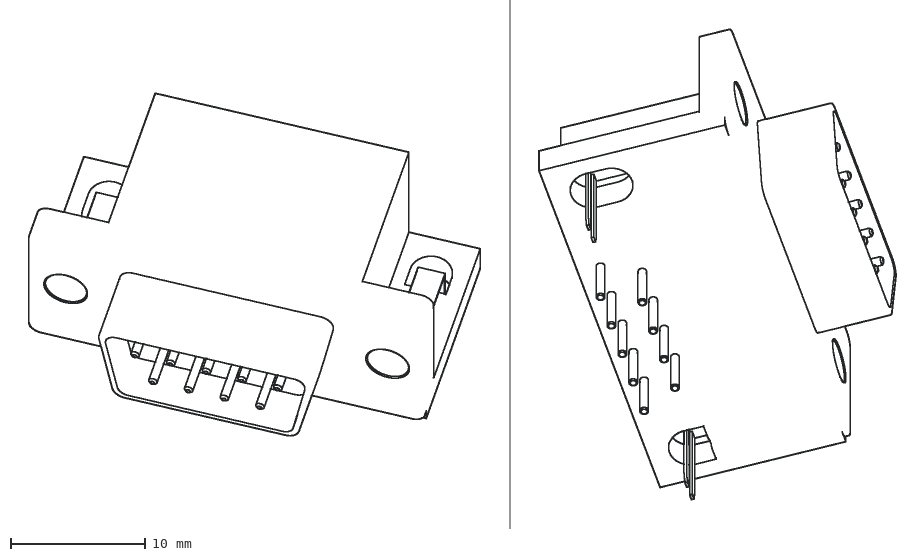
import cadquery as cq
import math


width = 30.8
height = 12.5
depth = 14.88
flange_depth = 2.37
base_height = 2.5
block_width = 19.7
corner_radius = 1.0

plate_thickness = 0.37
plate_edge_fillet = 0.1

hole_x = 12.5
hole_z = 6.25
hole_diameter = 3.2
hole_chamfer = 0.1

shell_width = 16.6
shell_height = 7.85
shell_length = 5.75
shell_wall = 0.5
shell_radius = 1.05
cavity_radius = 0.85
shell_side_angle = 10.0
shell_edge_fillet = 0.12
cavity_depth = 3.55

pin_diameter = 0.65
pin_tip_chamfer = 0.15
pin_recess = 0.2
pin_pitch = 2.77
row_gap = 2.83
tail_length = 3.88
tail_tip_chamfer = 0.1
back_tail_y = 13.1

slot_width = hole_diameter
slot_back_center_y = 11.65
slot_front_center_y = 10.1

lock_ring_diameter = 4.0
lock_width = 2.1
lock_upright_thickness = 0.28
lock_sheet_thickness = 0.2
lock_back_y = 11.8
lock_top_z = 4.55
lock_leg_length = 5.4
lock_leg_gap = 0.75
lock_tip_inset = 0.22
lock_tip_height = 0.92


def box(x0, x1, y0, y1, z0, z1):
    """Box given by its limits along each axis."""
    return cq.Workplane("XY").box(x1 - x0, y1 - y0, z1 - z0, centered=False).translate((x0, y0, z0))


def cylinder_along_y(x, z, diameter, y0, y1):
    """Cylinder running from y0 to y1."""
    return (
        cq.Workplane("XZ", origin=(x, y0, z))
        .circle(diameter / 2)
        .extrude(y0 - y1)
    )


def d_prism(inset, radius, y0, y1):
    """Prism of the D outline, its walls moved inwards by inset."""
    tilt = math.radians(shell_side_angle)
    sharp_offset = shell_radius * (math.tan(math.pi / 4 + tilt / 2) - 1)
    top_half = shell_width / 2 + sharp_offset
    top = hole_z + shell_height / 2 - inset
    bottom = hole_z - shell_height / 2 + inset

    def half_width(z):
        drop = hole_z + shell_height / 2 - z
        return top_half - drop * math.tan(tilt) - inset / math.cos(tilt)

    outline = [
        (-half_width(top), top),
        (half_width(top), top),
        (half_width(bottom), bottom),
        (-half_width(bottom), bottom),
    ]
    return (
        cq.Workplane("XZ", origin=(0, y1, 0))
        .polyline(outline)
        .close()
        .extrude(y1 - y0)
        .edges("|Y")
        .fillet(radius)
    )


def make_housing():
    half = width / 2
    base = box(-half, half, flange_depth, depth, 0, base_height)
    block = box(-block_width / 2, block_width / 2, flange_depth, depth, 0, height)
    flange = box(-half, half, plate_thickness, flange_depth, 0, height)
    flange = flange.edges("|Y and >Z").fillet(corner_radius)
    plate = box(-half, half, 0, plate_thickness, 0, height)
    plate = plate.edges("|Y").fillet(corner_radius)
    plate = plate.faces("<Y").edges().fillet(plate_edge_fillet)
    return flange.union(plate).union(base).union(block)


def make_slot(x, rounded_front):
    """Cutter for a slot with a rounded back end and a round or square front end."""
    radius = slot_width / 2
    slot = box(x - radius, x + radius, slot_front_center_y, slot_back_center_y, 0, base_height)
    end_centers = [(x, slot_back_center_y)]
    if rounded_front:
        end_centers.append((x, slot_front_center_y))
    ends = cq.Workplane("XY").pushPoints(end_centers).circle(radius).extrude(base_height)
    return slot.union(ends)


def make_screw_hole(x):
    """Cutter for a screw hole with a chamfered front edge, through flange and lock ring."""
    hole = cylinder_along_y(x, hole_z, hole_diameter, 0, flange_depth + lock_sheet_thickness)
    radius = hole_diameter / 2
    mouth = cq.Solid.makeCone(
        radius + hole_chamfer, radius, hole_chamfer,
        pnt=cq.Vector(x, 0, hole_z), dir=cq.Vector(0, 1, 0),
    )
    return hole.union(mouth)


def make_shell():
    shell = d_prism(0, shell_radius, -shell_length, plate_thickness)
    return shell.faces("<Y").edges().fillet(shell_edge_fillet)


def make_contact(x, z, tail_y):
    """Pin along Y that turns down into a tail along Z."""
    pin = cylinder_along_y(x, z, pin_diameter, pin_recess - shell_length, tail_y)
    pin = pin.faces("<Y").chamfer(pin_tip_chamfer)
    tail = (
        cq.Workplane("XY", origin=(x, tail_y, -tail_length))
        .circle(pin_diameter / 2)
        .extrude(tail_length + z)
        .faces("<Z")
        .chamfer(tail_tip_chamfer)
    )
    return pin.union(tail)


def make_board_lock(x):
    """Ring behind the flange, strap along the base and forked leg through the slot."""
    half = lock_width / 2
    strap_top = base_height + lock_sheet_thickness
    ring_back_y = flange_depth + lock_sheet_thickness
    upright_back_y = flange_depth + lock_upright_thickness
    ring = cylinder_along_y(x, hole_z, lock_ring_diameter, flange_depth, ring_back_y)
    upright = box(x - half, x + half, flange_depth, upright_back_y, base_height, lock_top_z)
    strap = box(x - half, x + half, flange_depth, lock_back_y, base_height, strap_top)
    leg_outline = [
        (x - half, strap_top),
        (x + half, strap_top),
        (x + half, lock_tip_height - lock_leg_length),
        (x + half - lock_tip_inset, -lock_leg_length),
        (x - half + lock_tip_inset, -lock_leg_length),
        (x - half, lock_tip_height - lock_leg_length),
    ]
    leg = (
        cq.Workplane("XZ", origin=(0, lock_back_y, 0))
        .polyline(leg_outline)
        .close()
        .extrude(lock_sheet_thickness)
    )
    slit = box(
        x - lock_leg_gap / 2, x + lock_leg_gap / 2,
        lock_back_y - lock_sheet_thickness, lock_back_y,
        -lock_leg_length, base_height,
    )
    return ring.union(upright).union(strap).union(leg.cut(slit))


result = make_housing().union(make_shell())
result = result.cut(d_prism(shell_wall, cavity_radius, -shell_length, cavity_depth - shell_length))

for side in (-1, 1):
    result = result.cut(make_slot(side * hole_x, rounded_front=side < 0))
    result = result.union(make_board_lock(side * hole_x))
    result = result.cut(make_screw_hole(side * hole_x))

contact_rows = [
    (5, hole_z + row_gap / 2, back_tail_y),
    (4, hole_z - row_gap / 2, back_tail_y - row_gap),
]
for count, row_z, row_tail_y in contact_rows:
    for index in range(count):
        pin_x = (index - (count - 1) / 2) * pin_pitch
        result = result.union(make_contact(pin_x, row_z, row_tail_y))